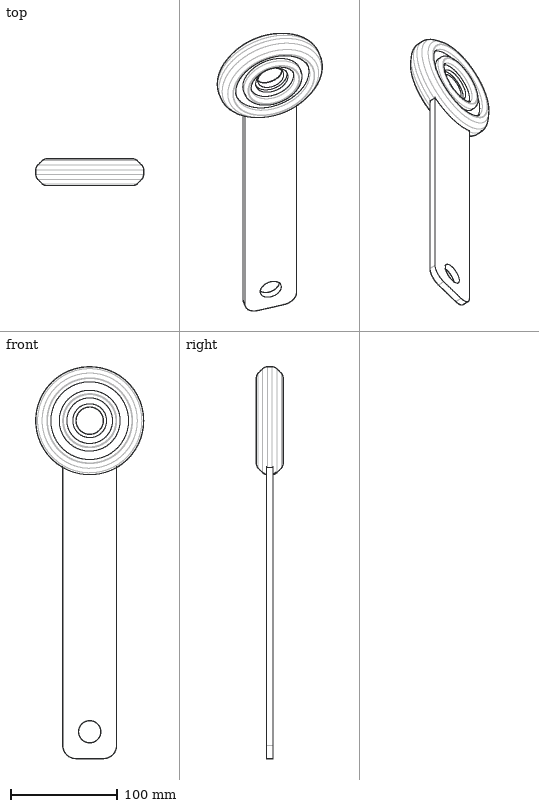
import cadquery as cq
import math

plate_thickness = 6.35
plate_width = 50.8
hole_spacing = 292.1
end_margin = 25.4
corner_radius = 12.7
lever_hole_diameter = 20.6375
bore_diameter = 25.4

wheel_radius = 50.8
wheel_width = 25.4
flank_size = 7.9375
tread_blend_radius = 6.35
wheel_opening_radius = 15.875
recess_depth = 6.35
groove_inner_radius = 28.575
groove_outer_radius = 36.5125
hub_recess_radius = 21.43125
rim_edge_radius = 3.175

half_width = wheel_width / 2
lever_bottom = -hole_spacing - end_margin
blend_tangent = tread_blend_radius * math.tan(math.radians(45 / 2))


def disc(radius, thickness):
    """Solid cylinder about the Y axis, centred on the XZ plane."""
    return cq.Workplane("XZ", origin=(0, thickness / 2, 0)).circle(radius).extrude(thickness)


def make_plate_blank():
    """Bar with a full-round upper end and rounded lower corners, without holes."""
    bar = (
        cq.Workplane("XZ")
        .center(0, lever_bottom / 2)
        .rect(plate_width, -lever_bottom)
        .extrude(plate_thickness / 2, both=True)
        .edges("|Y and <Z")
        .fillet(corner_radius)
    )
    return bar.union(disc(plate_width / 2, plate_thickness), clean=True)


def make_plate():
    """Lever plate with the wheel bore at the top and the lever hole at the bottom."""
    bore = disc(bore_diameter / 2, plate_thickness)
    lever_hole = disc(lever_hole_diameter / 2, plate_thickness).translate((0, 0, -hole_spacing))
    return make_plate_blank().cut(bore).cut(lever_hole)


def add_arc(profile, centre, radius, start_angle, end_angle):
    """Draw a line to the start of an arc, then the arc between two angles in degrees."""

    def on_arc(angle):
        turn = math.radians(angle)
        return (centre[0] + radius * math.cos(turn), centre[1] + radius * math.sin(turn))

    middle_angle = (start_angle + end_angle) / 2
    return profile.lineTo(*on_arc(start_angle)).threePointArc(on_arc(middle_angle), on_arc(end_angle))


def make_wheel_half():
    """The +Y half of the wheel: its (radius, Y) profile revolved about Y."""
    floor = half_width - recess_depth
    edge_centre_y = half_width - rim_edge_radius
    tread_centre = (wheel_radius - tread_blend_radius, half_width - flank_size - blend_tangent)
    shoulder_centre = (wheel_radius - flank_size - blend_tangent, half_width - tread_blend_radius)
    rim_centre = (groove_outer_radius + rim_edge_radius, edge_centre_y)
    hub_outer_centre = (groove_inner_radius - rim_edge_radius, edge_centre_y)
    hub_inner_centre = (hub_recess_radius + rim_edge_radius, edge_centre_y)

    profile = cq.Workplane("XY").moveTo(wheel_opening_radius, 0).lineTo(wheel_radius, 0)
    profile = add_arc(profile, tread_centre, tread_blend_radius, 0, 45)
    profile = add_arc(profile, shoulder_centre, tread_blend_radius, 45, 90)
    profile = add_arc(profile, rim_centre, rim_edge_radius, 90, 180)
    profile = profile.lineTo(groove_outer_radius, floor).lineTo(groove_inner_radius, floor)
    profile = add_arc(profile, hub_outer_centre, rim_edge_radius, 0, 90)
    profile = add_arc(profile, hub_inner_centre, rim_edge_radius, 90, 180)
    profile = profile.lineTo(hub_recess_radius, floor).lineTo(wheel_opening_radius, floor)
    return profile.close().revolve(360, (0, 0, 0), (0, 1, 0))


def make_wheel():
    """Both halves of the wheel, with a pocket that fits the upper end of the plate."""
    half = make_wheel_half()
    return half.union(half.mirror("XZ"), clean=True).cut(make_plate_blank())


plate = make_plate()
wheel = make_wheel()
result = cq.Compound.makeCompound([plate.solids().val(), wheel.solids().val()])